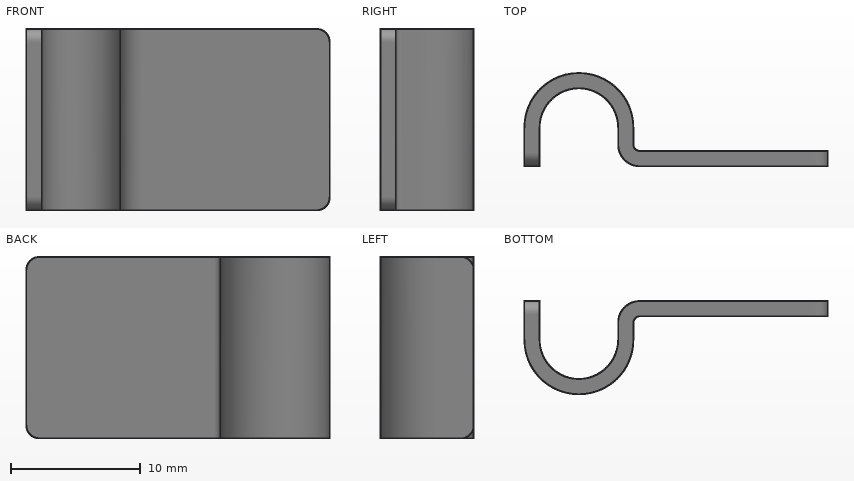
import cadquery as cq

length = 23.4
depth = 7.2
height = 14.0
thickness = 1.2
loop_radius = 4.21
bend_inner_radius = 0.5
corner_radius = 1.0

loop_inner_radius = loop_radius - thickness
loop_center_y = depth - loop_radius
bend_outer_radius = bend_inner_radius + thickness
neck_outer_x = 2 * loop_radius
neck_inner_x = neck_outer_x - thickness
bend_center_x = neck_outer_x + bend_inner_radius
bend_center_y = bend_outer_radius


def strip_profile():
    """Bent strip in the XY plane: free leg, half-round loop, bend and flat plate."""
    return (
        cq.Workplane("XY")
        .moveTo(0, 0)
        .lineTo(0, loop_center_y)
        .threePointArc((loop_radius, depth), (neck_outer_x, loop_center_y))
        .lineTo(neck_outer_x, bend_center_y)
        .radiusArc((bend_center_x, thickness), -bend_inner_radius)
        .lineTo(length, thickness)
        .lineTo(length, 0)
        .lineTo(bend_center_x, 0)
        .radiusArc((neck_inner_x, bend_center_y), bend_outer_radius)
        .lineTo(neck_inner_x, loop_center_y)
        .threePointArc(
            (loop_radius, loop_center_y + loop_inner_radius),
            (thickness, loop_center_y),
        )
        .lineTo(thickness, 0)
        .close()
    )


clip = strip_profile().extrude(height)

clip = clip.faces(">X").edges("|Y").fillet(corner_radius)
leg_tip_edges = cq.selectors.BoxSelector(
    (-thickness, -thickness, -thickness),
    (2 * thickness, thickness / 2, height + thickness),
)
clip = clip.edges("|X").edges(leg_tip_edges).fillet(corner_radius)

result = clip